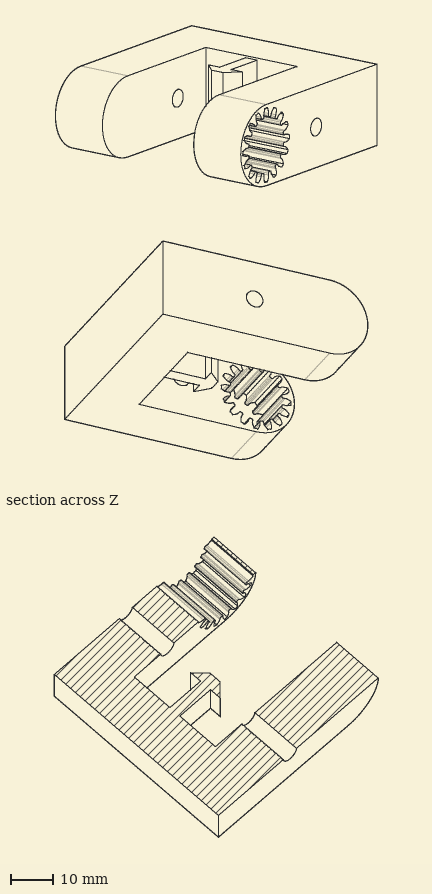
import cadquery as cq
import math

width = 55.0
length = 53.55
height = 20.0
arm_width = 13.95
back_thickness = 13.0

pin_diameter = 4.3
pin_from_back = 24.0

clip_length = 13.4
clip_stem_width = 3.4
clip_head_width = 10.0
clip_head_length = 3.25
clip_top_gap = 0.5
clip_bottom_gap = 1.5

gear_tip_diameter = 18.25
tooth_count = 16
pressure_angle = math.radians(20)
root_depth_factor = 1.25
flank_clearance = 0.1
root_fillet = 0.35
flank_steps = 6

end_radius = height / 2
pivot_y = end_radius - length
inner_back_y = -back_thickness
gap_width = width - 2 * arm_width
right_arm_inner_x = gap_width / 2

module = gear_tip_diameter / (tooth_count + 2)
tip_radius = gear_tip_diameter / 2
pitch_radius = module * tooth_count / 2
base_radius = pitch_radius * math.cos(pressure_angle)
root_radius = pitch_radius - root_depth_factor * module


def make_body():
    """U-shaped body whose arms end in half rounds about the pivot axis."""
    side = (
        cq.Workplane("YZ")
        .moveTo(0, -end_radius)
        .lineTo(pivot_y, -end_radius)
        .threePointArc((-length, 0), (pivot_y, end_radius))
        .lineTo(0, end_radius)
        .close()
        .extrude(width / 2, both=True)
    )
    gap = cq.Workplane("XY").box(gap_width, length, height, centered=(True, False, True))
    return side.cut(gap.translate((0, inner_back_y - length, 0)))


def make_clip():
    """Arrow-headed snap clip standing on the inner face of the back bar."""
    nose_y = inner_back_y - clip_length
    barb_y = nose_y + clip_head_length
    half_stem = clip_stem_width / 2
    half_head = clip_head_width / 2
    clip_bottom = clip_bottom_gap - height / 2
    clip_height = height - clip_top_gap - clip_bottom_gap
    return (
        cq.Workplane("XY", origin=(0, 0, clip_bottom))
        .polyline([
            (-half_stem, inner_back_y),
            (-half_stem, barb_y),
            (-half_head, barb_y),
            (-half_stem, nose_y),
            (half_stem, nose_y),
            (half_head, barb_y),
            (half_stem, barb_y),
            (half_stem, inner_back_y),
        ])
        .close()
        .extrude(clip_height)
    )


def make_pin_hole():
    """Cross hole along X through both arms."""
    return (
        cq.Workplane("YZ")
        .center(-pin_from_back, 0)
        .circle(pin_diameter / 2)
        .extrude(width / 2, both=True)
    )


def polar(radius, angle):
    """Point at a radius and angle about the pivot axis."""
    return (radius * math.cos(angle), radius * math.sin(angle))


def involute_angle(pressure):
    """Involute function: tan(angle) - angle."""
    return math.tan(pressure) - pressure


def half_tooth_angle(radius):
    """Half the angle that one tooth spans at a radius on its involute flank."""
    half_angle_at_pitch = math.pi / (2 * tooth_count) + flank_clearance / pitch_radius
    local_pressure = math.acos(min(1.0, base_radius / radius))
    return half_angle_at_pitch + involute_angle(pressure_angle) - involute_angle(local_pressure)


def make_gear_opening():
    """Gear-shaped opening about the pivot axis, running through the right arm only."""
    flank_radii = [
        base_radius + (tip_radius - base_radius) * step / flank_steps
        for step in range(flank_steps + 1)
    ]
    pitch_angle = 2 * math.pi / tooth_count
    root_half_angle = half_tooth_angle(base_radius)

    plane = cq.Workplane("YZ", origin=(right_arm_inner_x, pivot_y, 0))
    outline = plane.moveTo(*polar(root_radius, -root_half_angle))
    for index in range(tooth_count):
        middle = index * pitch_angle
        rising = [polar(radius, middle - half_tooth_angle(radius)) for radius in flank_radii]
        falling = [polar(radius, middle + half_tooth_angle(radius)) for radius in reversed(flank_radii)]
        next_root = middle + pitch_angle - root_half_angle
        outline = (
            outline.lineTo(*rising[0])
            .spline(rising[1:], includeCurrent=True)
            .threePointArc(polar(tip_radius, middle), falling[0])
            .spline(falling[1:], includeCurrent=True)
            .lineTo(*polar(root_radius, middle + root_half_angle))
            .threePointArc(polar(root_radius, middle + pitch_angle / 2), polar(root_radius, next_root))
        )
    opening = outline.close().extrude(arm_width)

    def is_root_corner(edge):
        middle = edge.Center()
        return math.hypot(middle.y - pivot_y, middle.z) < (root_radius + base_radius) / 2

    return opening.edges("|X").filter(is_root_corner).fillet(root_fillet)


result = make_body().cut(make_pin_hole()).cut(make_gear_opening()).union(make_clip())